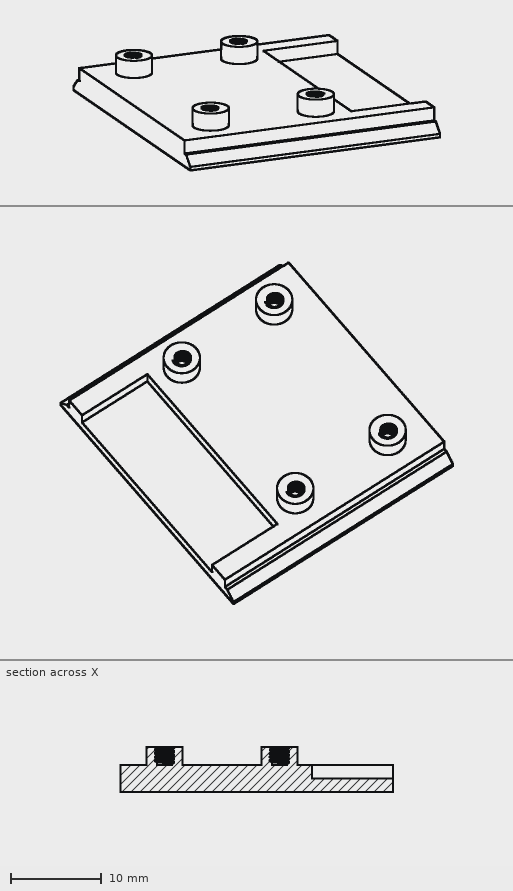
import cadquery as cq
import math

plate_width = 32.0
plate_length = 30.0
plate_height = 3.0

lip_edge_height = 0.4
lip_height = 1.5
lip_slope_width = 1.15
lip_width = 1.6

pocket_width = 24.05
pocket_length = 8.93
pocket_depth = 1.5

boss_diameter = 4.0
boss_height = 2.0
boss_spacing_x = 21.0
boss_spacing_y = 12.65
boss_back_offset = 12.5

thread_minor_diameter = 1.63
thread_major_diameter = 2.08
thread_turns = 5
thread_flank_angle = 30.0
thread_overlap = 0.03
thread_start_angle = 30.0
hole_seam_angle = 100.0

plate_back = plate_length / 2
boss_top = plate_height + boss_height
thread_pitch = boss_height / thread_turns
thread_root_width = thread_pitch / 8


def make_plate():
    half_width = plate_width / 2
    left_side = [
        (-half_width, 0),
        (-half_width, lip_edge_height),
        (-half_width + lip_slope_width, lip_height),
        (-half_width + lip_width, lip_height),
        (-half_width + lip_width, plate_height),
    ]
    right_side = [(-x, z) for x, z in reversed(left_side)]
    profile = cq.Workplane("XZ").polyline(left_side + right_side).close()
    return profile.extrude(plate_length / 2, both=True)


def make_pocket():
    return (
        cq.Workplane("XY", origin=(0, plate_back - pocket_length / 2, plate_height))
        .rect(pocket_width, pocket_length)
        .extrude(-pocket_depth)
    )


def make_thread_groove():
    """Right-hand V groove around the Z axis; Z = 0 is the boss top."""
    start_z = -(thread_turns - 0.5) * thread_pitch
    inner_radius = thread_minor_diameter / 2 - thread_overlap
    outer_radius = thread_major_diameter / 2
    half_root = thread_root_width / 2
    flank_rise = (outer_radius - inner_radius) * math.tan(math.radians(thread_flank_angle))
    half_mouth = half_root + flank_rise

    helix = cq.Wire.makeHelix(thread_pitch, (thread_turns + 1) * thread_pitch, inner_radius)
    path = cq.Workplane(helix.translate(cq.Vector(0, 0, start_z)))
    profile = [
        (inner_radius, start_z - half_mouth),
        (outer_radius, start_z - half_root),
        (outer_radius, start_z + half_root),
        (inner_radius, start_z + half_mouth),
    ]
    return cq.Workplane("XZ").polyline(profile).close().sweep(path, isFrenet=True)


def turn_about_z(body, angle):
    return body.rotate((0, 0, 0), (0, 0, 1), angle)


def make_boss():
    """Boss with its top at Z = 0 and a threaded hole as deep as the boss."""
    boss = cq.Workplane("XY").circle(boss_diameter / 2).extrude(-boss_height)
    hole = cq.Workplane("XY").circle(thread_minor_diameter / 2).extrude(-boss_height)
    blank = turn_about_z(boss.cut(hole), hole_seam_angle)
    return turn_about_z(blank.cut(make_thread_groove()), thread_start_angle)


result = make_plate().cut(make_pocket())

boss = make_boss()
boss_back_y = plate_back - boss_back_offset
for boss_x in (-boss_spacing_x / 2, boss_spacing_x / 2):
    for boss_y in (boss_back_y, boss_back_y - boss_spacing_y):
        result = result.union(boss.translate((boss_x, boss_y, boss_top)))